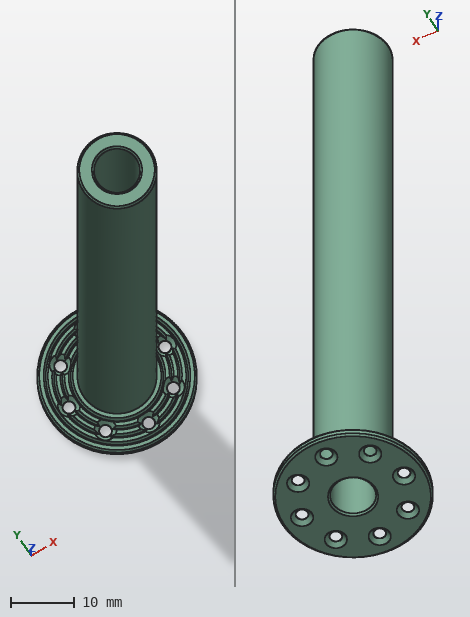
import cadquery as cq

TOTAL_HEIGHT = 109.4
FLANGE_DIAMETER = 25.0
FLANGE_THICKNESS = 1.5
TUBE_DIAMETER = 12.5
BORE_DIAMETER = 7.2

EDGE_CHAMFER = 0.3

HOLE_COUNT = 8
HOLE_DIAMETER = 2.0
HOLE_CIRCLE_DIAMETER = 18.0
COUNTERSINK_DEPTH = FLANGE_THICKNESS / 2

GROOVE_COUNT = 4
GROOVE_WIDTH = 0.7
GROOVE_DEPTH = 0.5
GROOVE_LAND = 0.65
TUBE_TO_GROOVE = 0.71
GROOVE_PITCH = GROOVE_WIDTH + GROOVE_LAND
FIRST_GROOVE_RADIUS = TUBE_DIAMETER / 2 + TUBE_TO_GROOVE + GROOVE_WIDTH / 2


def revolve_about_z(profile):
    """Turn a closed XZ profile one full turn around the Z axis."""
    return profile.revolve(360, (0, 0, 0), (0, 1, 0))


def v_groove(radius):
    """Ring cutter with a triangular section, open at the upper flange face."""
    profile = (
        cq.Workplane("XZ")
        .moveTo(radius - GROOVE_WIDTH / 2, FLANGE_THICKNESS)
        .lineTo(radius, FLANGE_THICKNESS - GROOVE_DEPTH)
        .lineTo(radius + GROOVE_WIDTH / 2, FLANGE_THICKNESS)
        .close()
    )
    return revolve_about_z(profile)


def waisted_hole():
    """Hole cutter on the Z axis: two 45 degree cones that meet at mid-thickness."""
    waist_radius = HOLE_DIAMETER / 2
    face_radius = waist_radius + COUNTERSINK_DEPTH
    profile = (
        cq.Workplane("XZ")
        .lineTo(face_radius, 0)
        .lineTo(waist_radius, COUNTERSINK_DEPTH)
        .lineTo(face_radius, FLANGE_THICKNESS)
        .lineTo(0, FLANGE_THICKNESS)
        .close()
    )
    return revolve_about_z(profile)


flange = cq.Workplane("XY").circle(FLANGE_DIAMETER / 2).extrude(FLANGE_THICKNESS)
flange = flange.faces("<Z or >Z").edges().chamfer(EDGE_CHAMFER)

for index in range(GROOVE_COUNT):
    flange = flange.cut(v_groove(FIRST_GROOVE_RADIUS + index * GROOVE_PITCH))

hole = waisted_hole().translate((HOLE_CIRCLE_DIAMETER / 2, 0, 0))
for index in range(HOLE_COUNT):
    flange = flange.cut(hole.rotate((0, 0, 0), (0, 0, 1), index * 360 / HOLE_COUNT))

tube = cq.Workplane("XY").circle(TUBE_DIAMETER / 2).extrude(TOTAL_HEIGHT)
bore = cq.Workplane("XY").circle(BORE_DIAMETER / 2).extrude(TOTAL_HEIGHT)
body = flange.union(tube).cut(bore)

body = body.faces(">Z").edges().chamfer(EDGE_CHAMFER)

bore_circle = cq.selectors.RadiusNthSelector(1)
result = body.faces("<Z").edges(bore_circle).chamfer(EDGE_CHAMFER)